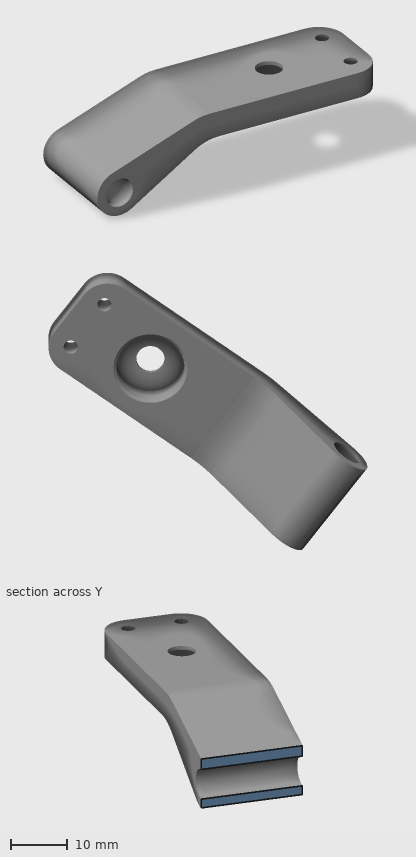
import cadquery as cq
import math

length = 58.15
width = 19.0
thickness = 5.0
height = 15.35
eye_diameter = 9.0
pin_diameter = 5.5
corner_radius = 5.0
bend_radius_top = 9.0
bend_radius_bottom = 9.0
top_slope = math.radians(20)
bottom_slope = math.radians(32.5)
screw_diameter = 2.5
screw_spacing = 10.0
screw_end_distance = 4.0
bore_diameter = 5.0
bore_end_distance = 17.75
recess_diameter = 12.0
recess_roof = 0.7
recess_chamfer = 0.5

eye_radius = eye_diameter / 2
eye_y = eye_radius
eye_z = eye_radius - height


def eye_point(angle):
    """Point on the outer circle of the eye, as (Y, Z)."""
    return eye_y + eye_radius * math.cos(angle), eye_z + eye_radius * math.sin(angle)


def bend_points(tangent_point, slope, face_z, radius):
    """Start, middle and end of the arc joining a sloping face to a level one."""
    corner_y = tangent_point[0] + (face_z - tangent_point[1]) / math.tan(slope)
    level_y = corner_y + radius * math.tan(slope / 2)
    center_z = face_z - radius

    def on_arc(angle):
        return level_y - radius * math.sin(angle), center_z + radius * math.cos(angle)

    return on_arc(slope), on_arc(slope / 2), on_arc(0)


def arm_body():
    """Side outline of plate, bend and eye, extruded across the width."""
    eye_top = eye_point(math.pi / 2 + top_slope)
    eye_bottom = eye_point(bottom_slope - math.pi / 2)
    top_bend = bend_points(eye_top, top_slope, 0, bend_radius_top)
    bottom_bend = bend_points(eye_bottom, bottom_slope, -thickness, bend_radius_bottom)
    return (
        cq.Workplane("YZ")
        .moveTo(*eye_top)
        .lineTo(*top_bend[0])
        .threePointArc(top_bend[1], top_bend[2])
        .lineTo(length, 0)
        .lineTo(length, -thickness)
        .lineTo(*bottom_bend[2])
        .threePointArc(bottom_bend[1], bottom_bend[0])
        .lineTo(*eye_bottom)
        .threePointArc(eye_point(math.pi), eye_top)
        .close()
        .extrude(width / 2, both=True)
    )


def vertical_cylinder(x, y, diameter, top_z):
    """Cutter running from top_z down through the plate's underside."""
    return (
        cq.Workplane("XY", origin=(x, y, top_z))
        .circle(diameter / 2)
        .extrude(-thickness - top_z)
    )


result = arm_body().edges("|Z and >Y").fillet(corner_radius)

pin_hole = (
    cq.Workplane("YZ")
    .center(eye_y, eye_z)
    .circle(pin_diameter / 2)
    .extrude(width, both=True)
)
result = result.cut(pin_hole)

for screw_x in (-screw_spacing / 2, screw_spacing / 2):
    result = result.cut(vertical_cylinder(screw_x, length - screw_end_distance, screw_diameter, 0))

bore_y = length - bore_end_distance
result = result.cut(vertical_cylinder(0, bore_y, bore_diameter, 0))
result = result.cut(vertical_cylinder(0, bore_y, recess_diameter, -recess_roof))

mouth_chamfer = (
    cq.Workplane("XY", origin=(0, bore_y, -thickness))
    .circle(recess_diameter / 2 + recess_chamfer)
    .workplane(offset=recess_chamfer)
    .circle(recess_diameter / 2)
    .loft()
)
result = result.cut(mouth_chamfer)